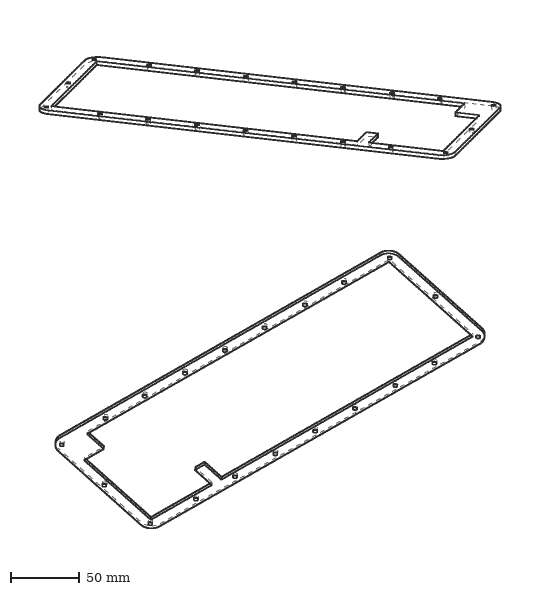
import cadquery as cq

length = 324.0
width = 114.3
thickness = 3.0
corner_radius = 9.7
tilt_angle = 3.0

border = 9.0
window_length = length - 2 * border
window_width = width - 2 * border

block_length = 18.8
block_width = 19.5
tab_length = 9.0
tab_reach = 19.5
tab_center_x = 90.5

edge_hole_diameter = 3.2
corner_hole_diameter = 3.1
edge_hole_offsets = (38.0, 76.0, 113.5)
edge_hole_inset = 5.2
edge_row_y = width / 2 - edge_hole_inset
side_hole_x = 157.5
corner_hole_x = 155.8
corner_hole_y = 51.0


def make_frame():
    """Rounded rectangular plate with a sharp-cornered window."""
    plate = cq.Workplane("XY").rect(length, width).extrude(thickness)
    plate = plate.edges("|Z").fillet(corner_radius)
    window = cq.Workplane("XY").rect(window_length, window_width).extrude(thickness)
    return plate.cut(window)


def make_corner_block():
    """Rectangular fill in the +X +Y corner of the window, overlapping the border."""
    overlap = border / 2
    return (
        cq.Workplane("XY")
        .moveTo(window_length / 2 - block_length, window_width / 2 - block_width)
        .rect(block_length + overlap, block_width + overlap, centered=False)
        .extrude(thickness)
    )


def make_tab():
    """Narrow tab reaching into the window from the -Y border."""
    overlap = border / 2
    return (
        cq.Workplane("XY")
        .moveTo(tab_center_x - tab_length / 2, -window_width / 2 - overlap)
        .rect(tab_length, tab_reach + overlap, centered=False)
        .extrude(thickness)
    )


def make_holes(points, diameter):
    """Cylinders that cut through the plate thickness."""
    return cq.Workplane("XY").pushPoints(points).circle(diameter / 2).extrude(thickness)


row_xs = [0.0]
for offset in edge_hole_offsets:
    row_xs += [-offset, offset]

edge_points = [(x, y) for x in row_xs for y in (-edge_row_y, edge_row_y)]
edge_points += [(-side_hole_x, 0), (side_hole_x, 0)]
corner_points = [(x, y) for x in (-corner_hole_x, corner_hole_x) for y in (-corner_hole_y, corner_hole_y)]

flat_plate = make_frame().union(make_corner_block()).union(make_tab())
flat_plate = flat_plate.cut(make_holes(edge_points, edge_hole_diameter))
flat_plate = flat_plate.cut(make_holes(corner_points, corner_hole_diameter))

result = flat_plate.rotate((0, 0, 0), (1, 0, 0), tilt_angle)